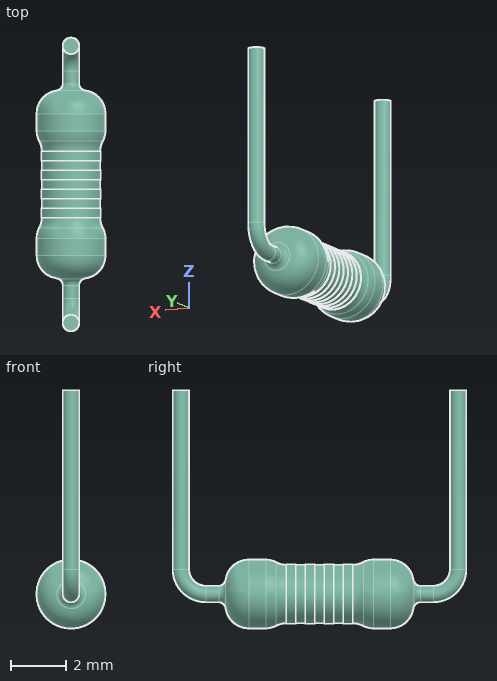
import math

import cadquery as cq


lead_radius = 0.3
lead_spacing = 10.0
bend_radius = 0.9
lead_top = 7.35

cap_radius = 1.25
core_radius = 2.12 / 2
band_radius = 2.15 / 2
body_length = 6.8
dome_radius = 0.85
neck_fillet = 0.25
cap_inner_y = 1.94

raised_band_count = 4
banded_length = 2.4
ring_count = 2 * raised_band_count - 1
ring_width = banded_length / ring_count


def arc_point(center_r, center_y, radius, angle):
    """Point on a circle in the (radius, y) half-plane, at an angle from the radial direction."""
    return (center_r + radius * math.cos(angle), center_y + radius * math.sin(angle))


def cap_profile():
    """Outline of the +Y end cap, in (radius, y), from the end of the bands to the lead."""
    waist_end = banded_length / 2
    shoulder_mid = ((core_radius + cap_radius) / 2, (waist_end + cap_inner_y) / 2)

    dome_center_r = cap_radius - dome_radius
    dome_center_y = body_length / 2 - dome_radius
    neck_center_r = lead_radius + neck_fillet
    center_distance = dome_radius + neck_fillet
    tangent_angle = math.acos((neck_center_r - dome_center_r) / center_distance)
    neck_y = dome_center_y + center_distance * math.sin(tangent_angle)

    dome_end = arc_point(dome_center_r, dome_center_y, dome_radius, tangent_angle)
    dome_mid = arc_point(dome_center_r, dome_center_y, dome_radius, tangent_angle / 2)
    neck_mid_angle = math.pi + tangent_angle / 2
    neck_mid = arc_point(neck_center_r, neck_y, neck_fillet, neck_mid_angle)

    return (
        cq.Workplane("XY")
        .moveTo(cap_radius, dome_center_y)
        .lineTo(cap_radius, cap_inner_y)
        .tangentArcPoint(shoulder_mid, relative=False)
        .tangentArcPoint((core_radius, waist_end), relative=False)
        .lineTo(0, waist_end)
        .lineTo(0, neck_y)
        .lineTo(lead_radius, neck_y)
        .threePointArc(neck_mid, dome_end)
        .threePointArc(dome_mid, (cap_radius, dome_center_y))
        .close()
    )


def make_cylinder(radius, start_y, length):
    """Cylinder on the body axis, reaching from start_y toward +Y."""
    return cq.Workplane("XZ", origin=(0, start_y, 0)).circle(radius).extrude(-length)


def make_body():
    """Core cylinder between two mirrored end caps."""
    core = make_cylinder(core_radius, -banded_length / 2, banded_length)
    cap = cap_profile().revolve(360, (0, 0, 0), (0, 1, 0))
    return core.union(cap).union(cap.mirror("XZ"))


def make_band(index):
    """Raised colour band, counted from the -Y end."""
    return make_cylinder(band_radius, -banded_length / 2 + 2 * index * ring_width, ring_width)


def make_leads():
    """One lead from inside the body at +Y, and its mirror image at -Y."""
    lead_y = lead_spacing / 2
    bend_start_y = lead_y - bend_radius
    root_y = body_length / 2 - dome_radius
    path = (
        cq.Workplane("YZ")
        .moveTo(root_y, 0)
        .lineTo(bend_start_y, 0)
        .tangentArcPoint((lead_y, bend_radius), relative=False)
        .lineTo(lead_y, lead_top)
    )
    lead = cq.Workplane("XZ", origin=(0, root_y, 0)).circle(lead_radius).sweep(path)
    return lead.union(lead.mirror("XZ"))


result = make_body()
for band_index in range(raised_band_count):
    result = result.union(make_band(band_index))
result = result.union(make_leads())